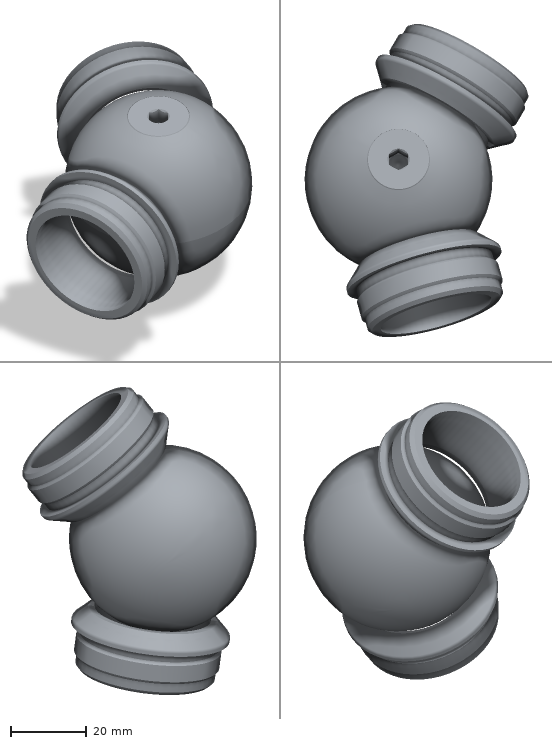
import cadquery as cq
import math

BALL_RADIUS = 25.0

PLUG_RADIUS = 8.35
PLUG_TOP = 23.7
PLUG_LENGTH = 7.7
PLUG_CHAMFER = 0.2
SOCKET_ACROSS_FLATS = 5.0
SOCKET_DEPTH = 4.65
SOCKET_MOUTH_RADIUS = 2.95
SOCKET_TIP_ANGLE = 120.0

COLLAR_BORE_RADIUS = 15.3
COLLAR_BODY_RADIUS = 18.7
COLLAR_INNER_END = 20.0
COLLAR_OUTER_END = 38.0
COLLAR_END_CHAMFER = 1.0
FLANGE_RADIUS = 21.3
FLANGE_CONE_END = 24.75
FLANGE_BACK = 26.1
FLANGE_EDGE_FILLET = 1.0
BAND_RADIUS = 19.5
BAND_START = 28.5
BAND_END = 34.6
MOUTH_RADIUS = 15.8
MOUTH_END = 22.05
STEP_DEPTH = 0.9
SECOND_COLLAR_TURN = -135.0


def half_ball(side):
    """Half of the ball: side is 1 for the upper half and -1 for the lower half."""
    ball = cq.Workplane("XY").sphere(BALL_RADIUS)
    size = 2 * BALL_RADIUS
    half_space = cq.Workplane("XY").box(size, size, size).translate((0, 0, side * BALL_RADIUS))
    return ball.intersect(half_space)


def plug_cylinder(top):
    """Plain cylinder from the floor of the plug recess up to the given height."""
    floor = PLUG_TOP - PLUG_LENGTH
    return cq.Workplane("XY").workplane(offset=floor).circle(PLUG_RADIUS).extrude(top - floor)


def make_plug():
    """Plug with a chamfered rim and a hexagon socket that ends in a drill point."""
    plug = plug_cylinder(PLUG_TOP).faces(">Z").edges().chamfer(PLUG_CHAMFER)

    corner_radius = SOCKET_ACROSS_FLATS / math.sqrt(3)
    hexagon = (
        cq.Workplane("XY")
        .workplane(offset=PLUG_TOP)
        .polygon(6, 2 * corner_radius)
        .extrude(-SOCKET_DEPTH)
    )

    tip_radius = SOCKET_ACROSS_FLATS / 2
    tip_height = tip_radius / math.tan(math.radians(SOCKET_TIP_ANGLE / 2))
    tip = cq.Solid.makeCone(
        tip_radius, 0, tip_height, pnt=(0, 0, PLUG_TOP - SOCKET_DEPTH), dir=(0, 0, -1)
    )

    mouth = cq.Solid.makeCone(
        SOCKET_MOUTH_RADIUS, 0, SOCKET_MOUTH_RADIUS, pnt=(0, 0, PLUG_TOP), dir=(0, 0, -1)
    )
    return plug.cut(hexagon).cut(cq.Workplane(tip)).cut(cq.Workplane(mouth))


def collar_ring():
    """Full turned shape of a collar around the -Y axis, with a bore that flares towards the ball."""
    cone_start_radius = FLANGE_RADIUS - (FLANGE_CONE_END - COLLAR_INNER_END)
    band_chamfer = BAND_RADIUS - COLLAR_BODY_RADIUS
    fillet_reach = FLANGE_EDGE_FILLET * math.tan(math.radians(22.5))
    fillet_drop = fillet_reach * math.sin(math.radians(45))

    return (
        cq.Workplane("XY")
        .moveTo(COLLAR_BORE_RADIUS, -MOUTH_END)
        .lineTo(MOUTH_RADIUS, -COLLAR_INNER_END)
        .lineTo(cone_start_radius, -COLLAR_INNER_END)
        .lineTo(FLANGE_RADIUS - fillet_drop, -(FLANGE_CONE_END - fillet_drop))
        .radiusArc((FLANGE_RADIUS, -(FLANGE_CONE_END + fillet_reach)), FLANGE_EDGE_FILLET)
        .lineTo(FLANGE_RADIUS, -FLANGE_BACK)
        .lineTo(COLLAR_BODY_RADIUS, -FLANGE_BACK)
        .lineTo(COLLAR_BODY_RADIUS, -BAND_START)
        .lineTo(BAND_RADIUS, -(BAND_START + band_chamfer))
        .lineTo(BAND_RADIUS, -(BAND_END - band_chamfer))
        .lineTo(COLLAR_BODY_RADIUS, -BAND_END)
        .lineTo(COLLAR_BODY_RADIUS, -(COLLAR_OUTER_END - COLLAR_END_CHAMFER))
        .lineTo(COLLAR_BODY_RADIUS - COLLAR_END_CHAMFER, -COLLAR_OUTER_END)
        .lineTo(COLLAR_BORE_RADIUS, -COLLAR_OUTER_END)
        .close()
        .revolve(360, (0, 0, 0), (0, 1, 0))
    )


def collar_step():
    """Block that shortens the inner end for z > 0, with a 45 degree slope just below z = 0."""
    step_face = COLLAR_INNER_END + STEP_DEPTH
    return (
        cq.Workplane("YZ")
        .moveTo(-step_face, 0)
        .lineTo(-COLLAR_INNER_END, -STEP_DEPTH)
        .lineTo(0, -STEP_DEPTH)
        .lineTo(0, FLANGE_RADIUS)
        .lineTo(-step_face, FLANGE_RADIUS)
        .close()
        .extrude(FLANGE_RADIUS, both=True)
    )


def make_collar():
    """Collar on the -Y axis with a stepped inner end that stays clear of the ball."""
    return collar_ring().cut(collar_step())


upper_half_ball = half_ball(1).cut(plug_cylinder(BALL_RADIUS))
lower_half_ball = half_ball(-1)
plug = make_plug()

collars = []
for flip, turn in ((0, 0), (180, SECOND_COLLAR_TURN)):
    collar = make_collar().rotate((0, 0, 0), (0, 1, 0), flip).rotate((0, 0, 0), (0, 0, 1), turn)
    collars.append(collar)

result = cq.Compound.makeCompound(
    [
        upper_half_ball.val(),
        lower_half_ball.val(),
        plug.val(),
        *[collar.val() for collar in collars],
    ]
)